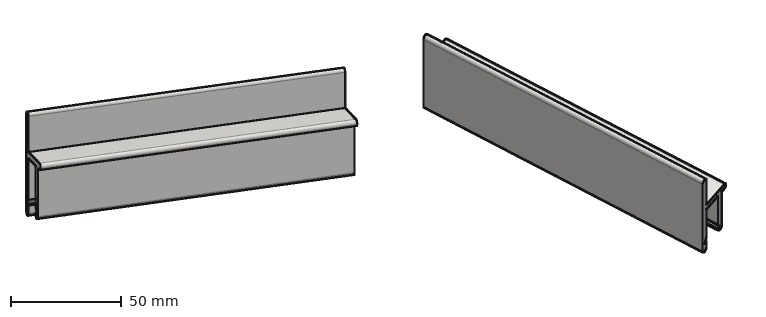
import cadquery as cq

length = 152.4
height = 50.7
width = 19.0
wall = 3.2
flange_underside = 28.5
leg_gap = 9.1
leg_bottom = 3.2
ledge_height = 5.5
notch_height = 2.9

round_radius = wall / 2
notch_depth = wall / 2
flange_top = flange_underside + wall
leg_inner = wall + leg_gap
leg_outer = leg_inner + wall
leg_middle = leg_inner + round_radius
notch_top = ledge_height + notch_height

profile = (
    cq.Workplane("XZ")
    .moveTo(0, round_radius)
    .lineTo(0, height - round_radius)
    .threePointArc((round_radius, height), (wall, height - round_radius))
    .lineTo(wall, flange_top)
    .lineTo(width - round_radius, flange_top)
    .threePointArc(
        (width, flange_underside + round_radius),
        (width - round_radius, flange_underside),
    )
    .lineTo(leg_outer, flange_underside)
    .lineTo(leg_outer, leg_bottom + round_radius)
    .threePointArc((leg_middle, leg_bottom), (leg_inner, leg_bottom + round_radius))
    .lineTo(leg_inner, ledge_height)
    .lineTo(leg_inner + notch_depth, ledge_height)
    .lineTo(leg_inner, notch_top)
    .lineTo(leg_inner, flange_underside)
    .lineTo(wall, flange_underside)
    .lineTo(wall, notch_top)
    .lineTo(wall - notch_depth, ledge_height)
    .lineTo(wall, ledge_height)
    .lineTo(wall, round_radius)
    .threePointArc((round_radius, 0), (0, round_radius))
    .close()
)

result = profile.extrude(length / 2, both=True)